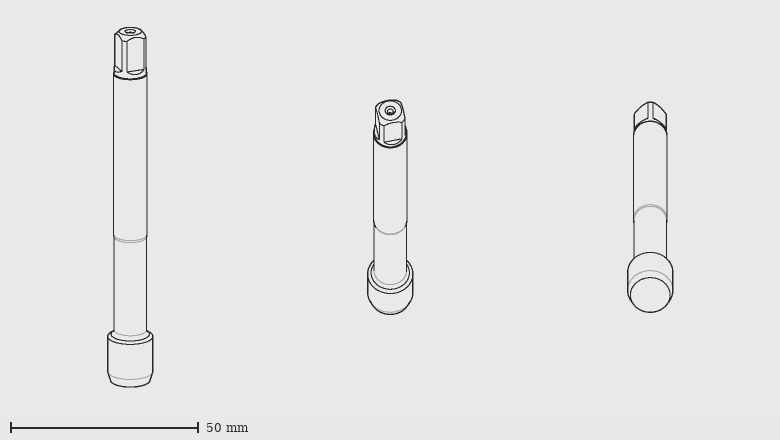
import cadquery as cq
import math

length = 100.0

head_diameter = 12.1
head_length = 13.6
head_cylinder_top = 13.0
head_top_diameter = 10.2
lead_top = 3.0
lead_bottom = 0.5
lead_tip_diameter = 10.6

neck_diameter = 8.7
flare_top = 14.8

shank_diameter = 9.0
shank_bottom = 42.0
shank_taper_length = 0.6
shank_top = 88.1
shank_chamfer = 0.2

square_width = 7.0
square_round_diameter = 8.6
square_bottom = 90.0
square_runout_angle = 45.0
end_face_diameter = 6.0

centre_diameter = 1.6
centre_depth = 2.5
countersink_diameter = 2.7
drill_point_angle = 118.0


def revolve_profile(points):
    """Revolve a half profile of (radius, height) points about the Z axis."""
    return cq.Workplane("XZ").polyline(points).close().revolve(360, (0, 0), (0, 1))


def make_cutting_head():
    """Cylinder with a bevelled top, a tapered lead and a shallow conical end."""
    return revolve_profile([
        (0, 0),
        (lead_tip_diameter / 2, lead_bottom),
        (head_diameter / 2, lead_top),
        (head_diameter / 2, head_cylinder_top),
        (head_top_diameter / 2, head_length),
        (0, head_length),
    ])


def make_turned_shank():
    """Flared neck, shank and round end before the square is cut."""
    neck_radius = neck_diameter / 2
    shank_radius = shank_diameter / 2
    square_radius = square_round_diameter / 2
    end_radius = end_face_diameter / 2
    end_chamfer = square_radius - end_radius
    flare_width = head_top_diameter / 2 - neck_radius
    flare_height = flare_top - head_length
    flare_radius = (flare_width ** 2 + flare_height ** 2) / (2 * flare_width)
    half_angle = math.asin(flare_height / flare_radius) / 2
    flare_middle = (
        neck_radius + flare_radius * (1 - math.cos(half_angle)),
        flare_top - flare_radius * math.sin(half_angle),
    )
    profile = (
        cq.Workplane("XZ")
        .moveTo(0, head_length)
        .lineTo(head_top_diameter / 2, head_length)
        .threePointArc(flare_middle, (neck_radius, flare_top))
        .lineTo(neck_radius, shank_bottom - shank_taper_length)
        .lineTo(shank_radius, shank_bottom)
        .lineTo(shank_radius, shank_top - shank_chamfer)
        .lineTo(square_radius, shank_top)
        .lineTo(square_radius, length - end_chamfer)
        .lineTo(end_radius, length)
        .lineTo(0, length)
        .close()
    )
    return profile.revolve(360, (0, 0), (0, 1))


def make_flat_cutter():
    """Cutter for one flat on the -Y side, with a sloping run-out at its lower end."""
    flat_y = -square_width / 2
    outer_y = -shank_diameter / 2
    runout_drop = (flat_y - outer_y) * math.tan(math.radians(square_runout_angle))
    return (
        cq.Workplane("YZ")
        .polyline([
            (flat_y, length),
            (flat_y, square_bottom),
            (outer_y, square_bottom - runout_drop),
            (outer_y, length),
        ])
        .close()
        .extrude(shank_diameter / 2, both=True)
    )


def make_centre_hole():
    """Countersunk centre hole with a drill point."""
    hole_radius = centre_diameter / 2
    countersink_radius = countersink_diameter / 2
    countersink_depth = countersink_radius - hole_radius
    point_length = hole_radius / math.tan(math.radians(drill_point_angle / 2))
    return revolve_profile([
        (0, length),
        (countersink_radius, length),
        (hole_radius, length - countersink_depth),
        (hole_radius, length - centre_depth),
        (0, length - centre_depth - point_length),
    ])


def make_shank():
    """Turned shank with four flats and a centre hole."""
    shank = make_turned_shank()
    for side in range(4):
        shank = shank.cut(make_flat_cutter().rotate((0, 0, 0), (0, 0, 1), 90 * side))
    return shank.cut(make_centre_hole())


cutting_head = make_cutting_head()
shank = make_shank()

result = cq.Compound.makeCompound([cutting_head.val(), shank.val()])